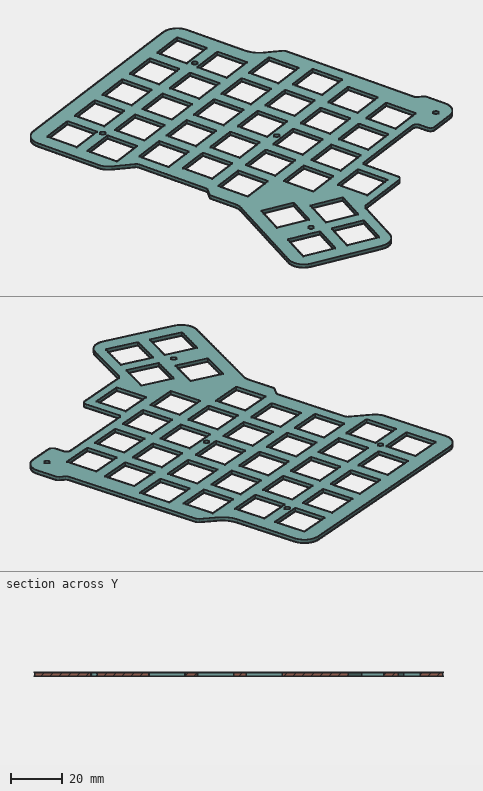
import cadquery as cq
import math

LENGTH = 161.9
THICKNESS = 1.59
SCREW_DIAMETER = 2.3

ROWS = 5
ROW_SPAN = 76.1
PITCH = ROW_SPAN / (ROWS - 1)
WEB = 5.0
CUTOUT = PITCH - WEB

FIRST_COLUMN_X = 13.8
OUTER_COLUMN_Y = 30.8
COLUMN_BASES = [OUTER_COLUMN_Y, OUTER_COLUMN_Y, 38.7, 41.1, 37.9, 36.5]
LAST_COLUMN = len(COLUMN_BASES) - 1
SIDE_KEY = (127.9, 65.1)

THUMB_TILT = -30
THUMB_KEY = (137.5, 15.7)
WIDE_PITCH = 1.25 * PITCH
THUMB_KEYS = [(0, 0), (0, PITCH), (-PITCH, PITCH), (-WIDE_PITCH, 0)]
COS_TILT = math.cos(math.radians(THUMB_TILT))
SIN_TILT = math.sin(math.radians(THUMB_TILT))

LEFT_BLOCK_BOTTOM = 17.5
LEFT_BLOCK_TOP = 120.6
MIDDLE_BOTTOM = 26.7
MIDDLE_TOP = 129.4
STEP_BOTTOM = 23.3
TAB_TOP = 132.1
TAB_BOTTOM = 113.2
TAB_RIGHT = 127.7
COLUMN_RIGHT = 120.0
SIDE_KEY_RIGHT = 138.8
SIDE_KEY_TOP = 76.5

LEFT_SLOPE_X = 38.2
TAB_SLOPE_X = 111.7
STEP_SLOPE_X = 84.0

LARGE_RADIUS = 6.6
SWEEP_RADIUS = 10.2
MEDIUM_RADIUS = 2.0
SMALL_RADIUS = 1.0

THUMB_TOP = PITCH + 11.7
THUMB_RIGHT = LARGE_RADIUS + (
    (LENGTH - LARGE_RADIUS - THUMB_KEY[0] + (THUMB_TOP - LARGE_RADIUS) * SIN_TILT) / COS_TILT
)
THUMB_BOTTOM = -LARGE_RADIUS + (
    (LARGE_RADIUS - THUMB_KEY[1] - (THUMB_RIGHT - LARGE_RADIUS) * SIN_TILT) / COS_TILT
)

SCREW_X = FIRST_COLUMN_X + PITCH / 2
SCREW_HOLES = [(SCREW_X, 38.0), (SCREW_X, 101.8), (80.5, 75.0), (122.0, 124.3), (130.3, 25.7)]


def thumb_point(along, across):
    """Plate position of a point given along and across the tilted thumb cluster."""
    x, y = THUMB_KEY
    return (x + along * COS_TILT - across * SIN_TILT, y + along * SIN_TILT + across * COS_TILT)


def along_thumb_edge_at_x(across, x):
    """Point at a given X on a long edge of the thumb cluster."""
    along = (x - THUMB_KEY[0] + across * SIN_TILT) / COS_TILT
    return thumb_point(along, across)


def along_thumb_edge_at_y(across, y):
    """Point at a given Y on a long edge of the thumb cluster."""
    along = (y - THUMB_KEY[1] - across * COS_TILT) / SIN_TILT
    return thumb_point(along, across)


def build_plate():
    """Plate blank: sharp outline corners, each with its own rounding radius."""
    corners = [
        ((0, LEFT_BLOCK_BOTTOM), LARGE_RADIUS),
        ((0, LEFT_BLOCK_TOP), LARGE_RADIUS),
        ((LEFT_SLOPE_X, LEFT_BLOCK_TOP), SWEEP_RADIUS),
        ((LEFT_SLOPE_X + MIDDLE_TOP - LEFT_BLOCK_TOP, MIDDLE_TOP), MEDIUM_RADIUS),
        ((TAB_SLOPE_X - TAB_TOP + MIDDLE_TOP, MIDDLE_TOP), MEDIUM_RADIUS),
        ((TAB_SLOPE_X, TAB_TOP), MEDIUM_RADIUS),
        ((TAB_RIGHT, TAB_TOP), LARGE_RADIUS),
        ((TAB_RIGHT, TAB_BOTTOM), MEDIUM_RADIUS),
        ((COLUMN_RIGHT, TAB_BOTTOM), MEDIUM_RADIUS),
        ((COLUMN_RIGHT, SIDE_KEY_TOP), SMALL_RADIUS),
        ((SIDE_KEY_RIGHT, SIDE_KEY_TOP), MEDIUM_RADIUS),
        (along_thumb_edge_at_x(THUMB_TOP, SIDE_KEY_RIGHT), MEDIUM_RADIUS),
        (thumb_point(THUMB_RIGHT, THUMB_TOP), LARGE_RADIUS),
        (thumb_point(THUMB_RIGHT, THUMB_BOTTOM), LARGE_RADIUS),
        (along_thumb_edge_at_y(THUMB_BOTTOM, STEP_BOTTOM), LARGE_RADIUS),
        ((STEP_SLOPE_X, STEP_BOTTOM), MEDIUM_RADIUS),
        ((STEP_SLOPE_X - MIDDLE_BOTTOM + STEP_BOTTOM, MIDDLE_BOTTOM), MEDIUM_RADIUS),
        ((LEFT_SLOPE_X + MIDDLE_BOTTOM - LEFT_BLOCK_BOTTOM, MIDDLE_BOTTOM), MEDIUM_RADIUS),
        ((LEFT_SLOPE_X, LEFT_BLOCK_BOTTOM), LARGE_RADIUS),
    ]
    plate = cq.Workplane("XY").polyline([point for point, _ in corners]).close().extrude(THICKNESS)
    for (x, y), radius in corners:
        corner_edge = cq.NearestToPointSelector((x, y, THICKNESS / 2))
        plate = plate.edges("|Z").edges(corner_edge).fillet(radius)
    return plate


def column_key_centres():
    """Centres of all upright keys."""
    centres = [SIDE_KEY]
    for column, base in enumerate(COLUMN_BASES):
        first_row = 1 if column == LAST_COLUMN else 0
        for row in range(first_row, ROWS):
            centres.append((FIRST_COLUMN_X + column * PITCH, base + row * PITCH))
    return centres


def cut_squares(plate, centres, tilt):
    """Cut a square switch opening, turned by tilt degrees, through the plate at each centre."""
    squares = cq.Sketch().push(centres).rect(CUTOUT, CUTOUT, angle=tilt)
    return plate.cut(cq.Workplane("XY").placeSketch(squares).extrude(THICKNESS))


def cut_screw_holes(plate):
    """Drill the screw holes through the plate."""
    holes = cq.Workplane("XY").pushPoints(SCREW_HOLES).circle(SCREW_DIAMETER / 2).extrude(THICKNESS)
    return plate.cut(holes)


result = build_plate()
result = cut_squares(result, column_key_centres(), 0)
result = cut_squares(result, [thumb_point(along, across) for along, across in THUMB_KEYS], THUMB_TILT)
result = cut_screw_holes(result)